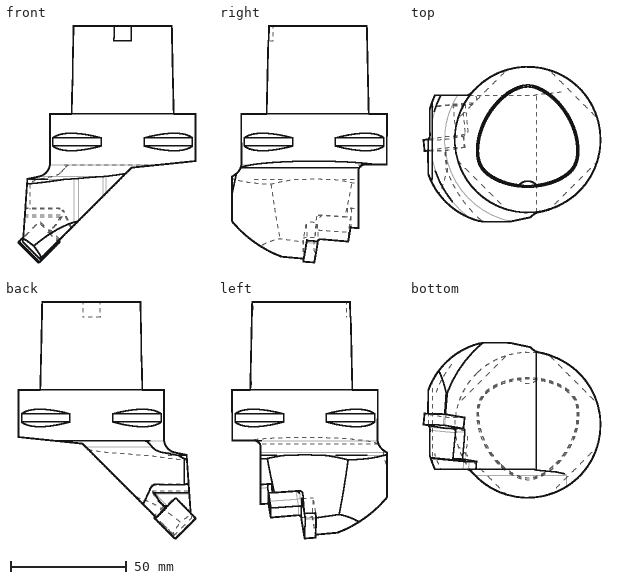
import cadquery as cq
import math


shank_height = 38.0
shank_base_radius = 22.1
shank_top_radius = 21.3
lobe_height = 1.5
lobe_count = 3
shank_outline_points = 36
key_radius = 4.9
key_height = 6.4
key_inner_y = -17.9

flange_radius = 31.5
flange_height = 22.0
grip_count = 4
grip_floor_distance = 27.8
grip_mid_z = -12.2
grip_floor_width = 3.5
grip_mouth_width = 7.6
grip_length = 2 * flange_radius

neck_radius = 36.0
neck_z = -27.0
neck_mid = (32.9, -25.2)
cone_radius = 42.1
cone_z = -28.3
rim_slope = 0.6
head_reach = 47.1
head_bottom_z = -65.5
head_front_y = -35.5
side_wall_y = 19.2
side_fillet = 2.6
end_edge_x = -40.1
end_arc_mid = (-44.4, 3.1)
end_arc_end = (-43.8, -12.3)
shoulder_arc_mid = (-34.7, -27.6)
shoulder_arc_end = (-21.1, -35.2)
front_flat_start_x = -19.1
front_flat_end_x = -8.7
front_taper_start = (-7.3, -35.4)
front_taper_end_y = -27.2
relief_top_z = -46.4
relief_mid = (-23.1, -57.3)
relief_arc_end = (-14.0, -61.8)
relief_end = (-4.8, -62.6)
end_wall_x = -41.2
end_wall_tilt = 4.0
bottom_x = 3.8
bottom_z = -23.3
flange_edge_z = -20.5
clearance_sum = -99.2
clearance_slope = 0.16

tip = (-36.3, 0.1, -64.5)
rake_normal = (0.1, -1.0, 0.07)
insert_side = 12.6
insert_thickness = 4.8
nose_radius = 0.4
pocket_overrun = 20.5
gullet_depth = 13.1
gullet_fillet = 2.6
gullet_root_fillet = 1.2
outer_gullet_corner = (11.8, 24.8)
outer_gullet_foot = (16.4, 14.8)
gullet_roof = (10.7, 20.9)
ledge_back = (8.5, 17.4)
ledge_crest = (5.4, 14.3)
ledge_foot = (14.8, 4.9)

far = 102.3


def lobed_outline(radius):
    """Points of a rounded triangle with support distance radius + lobe_height * cos(lobe_count * a)."""
    points = []
    for i in range(shank_outline_points):
        angle = 2 * math.pi * i / shank_outline_points
        support = radius + lobe_height * math.cos(lobe_count * angle)
        slope = -lobe_count * lobe_height * math.sin(lobe_count * angle)
        along = support * math.cos(angle) - slope * math.sin(angle)
        across = support * math.sin(angle) + slope * math.cos(angle)
        points.append((-across, along))
    return points


def make_shank():
    shank = (
        cq.Workplane("XY")
        .spline(lobed_outline(shank_base_radius), periodic=True)
        .close()
        .workplane(offset=shank_height)
        .spline(lobed_outline(shank_top_radius), periodic=True)
        .close()
        .loft(ruled=True)
    )
    keyway = (
        cq.Workplane("XY", origin=(0, key_inner_y - key_radius, shank_height - key_height))
        .circle(key_radius)
        .extrude(key_height)
    )
    return shank.cut(keyway)


def make_flange():
    flange = cq.Workplane("XY").circle(flange_radius).extrude(-flange_height)
    depth = flange_radius - grip_floor_distance
    taper = (grip_mouth_width - grip_floor_width) / 2
    slot = (
        cq.Workplane("XZ", origin=(grip_floor_distance, 0, grip_mid_z))
        .moveTo(0, -grip_floor_width / 2)
        .lineTo(depth, -grip_floor_width / 2 - taper)
        .lineTo(depth, grip_floor_width / 2 + taper)
        .lineTo(0, grip_floor_width / 2)
        .close()
        .extrude(grip_length / 2, both=True)
    )
    for i in range(grip_count):
        angle = 360 / grip_count * (i + 0.5)
        flange = flange.cut(slot.rotate((0, 0, 0), (0, 0, 1), angle))
    return flange


def make_head_blank():
    """Revolved neck and cones, trimmed to the plan outline of the head."""
    turned = (
        cq.Workplane("XZ")
        .moveTo(0, -flange_height)
        .lineTo(flange_radius, -flange_height)
        .threePointArc(neck_mid, (neck_radius, neck_z))
        .lineTo(cone_radius, cone_z)
        .lineTo(head_reach, cone_z - rim_slope * (head_reach - cone_radius))
        .lineTo(head_reach, head_bottom_z)
        .lineTo(0, head_bottom_z)
        .close()
        .revolve(360, (0, 0), (0, 1))
    )
    plan = (
        cq.Workplane("XY", origin=(0, 0, head_bottom_z))
        .moveTo(flange_radius, flange_radius)
        .lineTo(end_edge_x, flange_radius)
        .lineTo(end_edge_x, side_wall_y)
        .threePointArc(end_arc_mid, end_arc_end)
        .threePointArc(shoulder_arc_mid, shoulder_arc_end)
        .lineTo(front_flat_start_x, head_front_y)
        .lineTo(front_flat_end_x, head_front_y)
        .lineTo(*front_taper_start)
        .lineTo(flange_radius, front_taper_end_y)
        .close()
        .extrude(-head_bottom_z)
    )
    return turned.intersect(plan)


def side_cut():
    """Space beyond the flat +Y wall, with a rounded corner below the flange."""
    return (
        cq.Workplane("YZ", origin=(-far, 0, 0))
        .moveTo(side_wall_y, -far)
        .lineTo(side_wall_y, -flange_height - side_fillet)
        .radiusArc((side_wall_y + side_fillet, -flange_height), side_fillet)
        .lineTo(far, -flange_height)
        .lineTo(far, -far)
        .close()
        .extrude(2 * far)
    )


def end_wall_cut():
    """Space outside the leaning plane that closes the -X end."""
    lean = math.tan(math.radians(end_wall_tilt))
    return (
        cq.Workplane("XZ")
        .polyline([
            (end_wall_x - lean * (far + cone_z), -far),
            (-far, -far),
            (-far, 0),
            (end_wall_x - lean * cone_z, 0),
        ])
        .close()
        .extrude(far, both=True)
    )


def bottom_cut():
    """Space below the 45 degree underside and the sloping flange base."""
    rise = (flange_edge_z - bottom_z) / (flange_radius - bottom_x)
    return (
        cq.Workplane("XZ")
        .polyline([
            (bottom_x, bottom_z),
            (bottom_x + far, bottom_z + rise * far),
            (bottom_x + far, bottom_z - far),
            (bottom_x - far, bottom_z - far),
        ])
        .close()
        .extrude(far, both=True)
    )


def edge_clearance_cut():
    """Space below the plane x + z = clearance_sum - clearance_slope * y."""
    plane = cq.Plane(
        origin=(clearance_sum / 2, 0, clearance_sum / 2),
        xDir=(1, 0, -1),
        normal=(-1, -clearance_slope, -1),
    )
    return cq.Workplane(plane).rect(2 * far, 2 * far).extrude(far)


def front_relief_cut():
    """Rounded relief running along X under the -Y side."""
    return (
        cq.Workplane("YZ", origin=(-far, 0, 0))
        .moveTo(head_front_y, relief_top_z)
        .threePointArc(relief_mid, relief_arc_end)
        .lineTo(*relief_end)
        .lineTo(relief_end[0], -far)
        .lineTo(-far, -far)
        .lineTo(-far, relief_top_z)
        .close()
        .extrude(2 * far)
    )


def rake_workplane(distance=0.0):
    """Plane of the rake face moved towards +Y; local x follows X and local y follows Z."""
    plane = cq.Plane(origin=tip, xDir=(-rake_normal[1], rake_normal[0], 0), normal=rake_normal)
    return cq.Workplane(plane).workplane(offset=-distance)


def gullet_cut():
    """Chip pocket in front of the rake face, leaving a V-topped ledge."""
    return (
        rake_workplane()
        .polyline([
            (-pocket_overrun, gullet_roof[1]),
            gullet_roof,
            ledge_back,
            ledge_crest,
            ledge_foot,
            (ledge_foot[0], -pocket_overrun),
            (-pocket_overrun, -pocket_overrun),
        ])
        .close()
        .extrude(-far)
        .faces(cq.selectors.DirectionMinMaxSelector(cq.Vector(*rake_normal)))
        .edges()
        .fillet(gullet_root_fillet)
    )


def outer_gullet_cut():
    """Deeper step of the chip pocket beside the +Y wall."""
    start = rake_workplane(gullet_depth)
    roof_corner = start.plane.toWorldCoords((*outer_gullet_corner, -far / 2))
    return (
        start
        .polyline([
            (-pocket_overrun, outer_gullet_corner[1]),
            outer_gullet_corner,
            outer_gullet_foot,
            (outer_gullet_foot[0], -pocket_overrun),
            (-pocket_overrun, -pocket_overrun),
        ])
        .close()
        .extrude(-far)
        .edges(cq.selectors.ParallelDirSelector(cq.Vector(*rake_normal)))
        .edges(cq.selectors.NearestToPointSelector((roof_corner.x, roof_corner.y, roof_corner.z)))
        .fillet(gullet_fillet)
    )


def make_insert():
    """Square insert standing on its cutting corner."""
    half_diagonal = insert_side / math.sqrt(2)
    return (
        rake_workplane()
        .polyline([
            (0, 0),
            (half_diagonal, half_diagonal),
            (0, 2 * half_diagonal),
            (-half_diagonal, half_diagonal),
        ])
        .close()
        .extrude(insert_thickness)
        .edges(cq.selectors.ParallelDirSelector(cq.Vector(*rake_normal)))
        .fillet(nose_radius)
    )


insert = make_insert()
holder = make_flange().union(make_head_blank())
for cutter in (
    side_cut(),
    end_wall_cut(),
    bottom_cut(),
    edge_clearance_cut(),
    front_relief_cut(),
    gullet_cut(),
    outer_gullet_cut(),
    insert,
):
    holder = holder.cut(cutter)
holder = holder.union(make_shank())

result = cq.Compound.makeCompound([holder.val(), insert.val()])